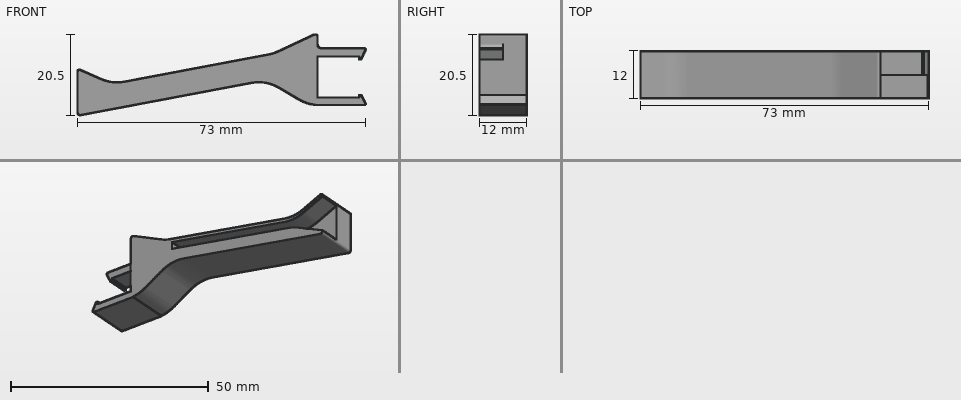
import cadquery as cq
import math

length = 72.95
width = 12.0
half_width = width / 2

handle_slope = math.tan(math.radians(10.7))
handle_top_start = 6.3
handle_bottom_start = -0.15
bend_radius = 10.0
nose_radius = 0.5
peak_radius = 0.65
heel_radius = 0.7

flare_height = 11.8
flare_slope = math.tan(math.radians(23.7))

head_face_x = 60.8
head_peak = 20.9
head_top_bend_x = 49.7
head_bottom_bend_x = 47.7
belly_x = 58.4
arm_root_radius = 0.95

arm_start_x = head_face_x - 0.7
upper_arm_top = 17.0
upper_arm_bottom = 14.8
lower_arm_top = 4.5
lower_arm_bottom = 2.55
hook_x = 71.3
hook_depth = 0.65
hook_tip_width = 0.5
tip_land = 0.4
tip_chamfer = 0.4

roof_thickness = 1.0
floor_thickness = 3.4
floor_bend_radius = 12.05
mouth_floor = 0.8
mouth_slope = math.tan(math.radians(24.5))
channel_end_x = head_bottom_bend_x
channel_wall_y = 0.1


def handle_top(x):
    return handle_top_start + handle_slope * x


def handle_bottom(x):
    return handle_bottom_start + handle_slope * x


def extrude_back(points, front_y, depth):
    """Extrude an XZ outline from front_y towards +Y."""
    plane = cq.Workplane("XZ", origin=(0, front_y, 0))
    return plane.polyline(points).close().extrude(-depth)


def round_corner(body, x, z, radius):
    """Round the Y-direction edge passing through (x, z)."""
    reach = 0.04
    corner = cq.selectors.BoxSelector((x - reach, -width, z - reach), (x + reach, width, z + reach))
    return body.edges("|Y").edges(corner).fillet(radius)


def make_arm(outer_z, inner_z, front_y, depth):
    """Arm with a tapered hook on its inner side."""
    inward = math.copysign(1, inner_z - outer_z)
    hook_z = inner_z + inward * hook_depth
    outline = [
        (arm_start_x, outer_z),
        (length - tip_chamfer, outer_z),
        (length, outer_z + inward * tip_land),
        (hook_x + hook_tip_width, hook_z),
        (hook_x, hook_z),
        (hook_x, inner_z),
        (arm_start_x, inner_z),
    ]
    return extrude_back(outline, front_y, depth)


flare_bend_x = (flare_height - handle_top_start) / (flare_slope + handle_slope)
flare_bend = (flare_bend_x, handle_top(flare_bend_x))
head_top_bend = (head_top_bend_x, handle_top(head_top_bend_x))
head_bottom_bend = (head_bottom_bend_x, handle_bottom(head_bottom_bend_x))
belly = (belly_x, lower_arm_bottom)
flare_tip = (0, flare_height)
heel = (0, handle_bottom_start)
peak = (head_face_x, head_peak)
body_outline = [
    heel,
    flare_tip,
    flare_bend,
    head_top_bend,
    peak,
    (head_face_x, lower_arm_top),
    (hook_x, lower_arm_top),
    (hook_x, lower_arm_bottom),
    belly,
    head_bottom_bend,
]
body = extrude_back(body_outline, -half_width, width)
for bend in (flare_bend, head_top_bend, head_bottom_bend, belly):
    body = round_corner(body, *bend, bend_radius)
body = round_corner(body, *flare_tip, nose_radius)
body = round_corner(body, *peak, peak_radius)
body = round_corner(body, *heel, heel_radius)

body = body.union(make_arm(lower_arm_bottom, lower_arm_top, -half_width, width))
body = body.union(make_arm(upper_arm_top, upper_arm_bottom, -half_width, half_width))
body = round_corner(body, head_face_x, upper_arm_top, arm_root_radius)

floor_start = handle_bottom_start + floor_thickness
floor_bend_x = (floor_start - mouth_floor) / (mouth_slope - handle_slope)
floor_bend = (floor_bend_x, floor_start + handle_slope * floor_bend_x)
roof_bend = (flare_bend_x, flare_bend[1] - roof_thickness)
channel_outline = [
    (0, mouth_floor),
    floor_bend,
    (channel_end_x, floor_start + handle_slope * channel_end_x),
    (channel_end_x, handle_top(channel_end_x) - roof_thickness),
    roof_bend,
    (0, flare_height - roof_thickness),
]
channel = extrude_back(channel_outline, channel_wall_y, half_width)
channel = round_corner(channel, *roof_bend, bend_radius)
channel = round_corner(channel, *floor_bend, floor_bend_radius)

result = body.cut(channel)